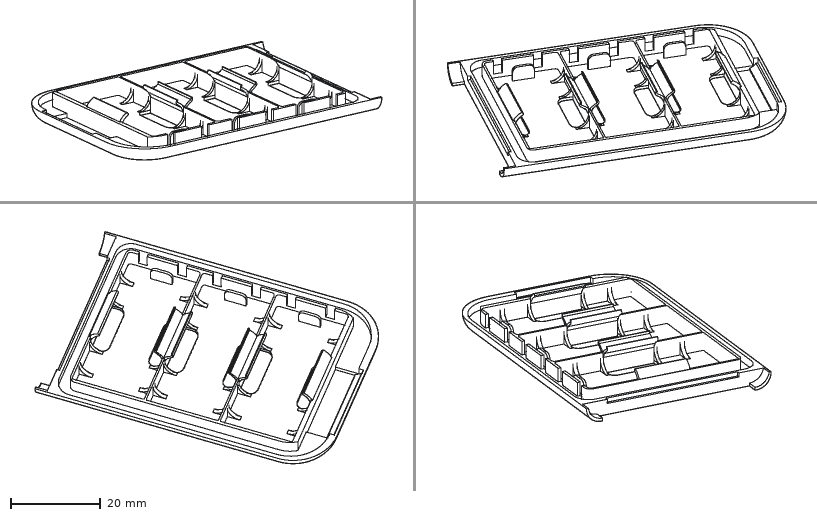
import cadquery as cq
import math


WIDTH = 46.57
LENGTH = 68.04
RIM_Z = 3.7
SHELL_ROUND = 3.65
CORNER_R = 10.43
BACK_EDGE_Y = 65.25

ARM_FOOT_X = 19.24
ARM_HOLLOW_R = 3.6
ARM_HOLLOW_Z = 4.3

STEP_WIDTH = 33.2
STEP_Y = 64.57
STEP_DEPTH = 1.0

MOAT_FLOOR_Z = 1.8
MOAT_HALF_WIDTH = 22.3
MOAT_FRONT_Y = 1.75
MOAT_BACK_Y = 63.9
MOAT_FRONT_R = 9.2
MOAT_BACK_R = 3.6

NOTCH_LEFT_X = -12.85
NOTCH_RIGHT_X = 6.4
NOTCH_FLOOR_Z = 0.8
NOTCH_RAMP_START_Y = 2.6
NOTCH_RAMP_END_Y = 1.1
NOTCH_RAMP_R = 3.2
NOTCH_RAMP_CENTRE_Y = 3.65
NOTCH_RAMP_CENTRE_Z = 4.25
NOTCH_LIP_Y = 0.65

WALL_TOP_Z = 5.08
FLOOR_Z = 0.75
BOX_HALF_WIDTH = 19.58
BOX_FRONT_Y = 7.33
BOX_BACK_Y = 61.35
BOX_BACK_R = 1.4
BOX_FRONT_FLAT_X = 18.35
BOX_CURVE_START_Y = 11.3
CELL_COUNT = 3
CELL_FRONT_Y = 8.5
CELL_LENGTH = 17.15
CELL_HALF_WIDTH = 18.85
DIVIDER = 0.45
CELL_PITCH = CELL_LENGTH + DIVIDER
CELL_LEFT_R = 0.3
CELL_RIGHT_R = 0.7

WINDOW_HALF_WIDTH = 6.4
WINDOW_DEPTH = 3.87
WINDOW_R = 1.8
RIB_REACH = 3.0
RIB_TIP = 0.05
INNER_RIB_X = 6.75
INNER_RIB_WIDTH = 0.76
OUTER_RIB_X = 13.52
OUTER_RIB_WIDTH = 1.03
TAB_X = 16.45
TAB_THICKNESS = 0.6
TAB_LENGTH = 5.1
TAB_HEIGHT = 3.5
TAB_R = 1.3
SLOT_WIDTH = 2.08
SLOT_FRONT_OFFSET = -4.05
SLOT_BACK_OFFSET = 5.25

CLIP_TOP_Z = 7.07
CLIP_ROOT_DEPTH = 1.2


def box(x0, x1, y0, y1, z0, z1):
    return cq.Workplane("XY").box(x1 - x0, y1 - y0, z1 - z0, centered=False).translate((x0, y0, z0))


def cell_fronts():
    return [CELL_FRONT_Y + i * CELL_PITCH for i in range(CELL_COUNT)]


def shell():
    half = WIDTH / 2
    body = box(-half, half, 0, LENGTH, 0, RIM_Z)
    body = body.edges("|Z and <Y").fillet(CORNER_R)
    rounded = body.faces("<Z").edges("not >Y").fillet(SHELL_ROUND)
    hollow = box(-ARM_FOOT_X, ARM_FOOT_X, BACK_EDGE_Y, LENGTH, 0, RIM_Z)
    for side in (-1, 1):
        hollow = hollow.union(
            cq.Workplane("XZ", origin=(side * ARM_FOOT_X, LENGTH, ARM_HOLLOW_Z))
            .circle(ARM_HOLLOW_R)
            .extrude(LENGTH - BACK_EDGE_Y)
        )
    step = box(-STEP_WIDTH / 2, STEP_WIDTH / 2, STEP_Y, BACK_EDGE_Y, RIM_Z - STEP_DEPTH, RIM_Z)
    return rounded.cut(hollow).cut(step)


def moat():
    pocket = box(-MOAT_HALF_WIDTH, MOAT_HALF_WIDTH, MOAT_FRONT_Y, MOAT_BACK_Y, MOAT_FLOOR_Z, RIM_Z)
    return pocket.edges("|Z and <Y").fillet(MOAT_FRONT_R).edges("|Z and >Y").fillet(MOAT_BACK_R)


def notch_ramp_z(y):
    return NOTCH_RAMP_CENTRE_Z - math.sqrt(NOTCH_RAMP_R**2 - (NOTCH_RAMP_CENTRE_Y - y) ** 2)


def notch():
    ramp_mid_y = (NOTCH_RAMP_START_Y + NOTCH_RAMP_END_Y) / 2
    ledge_z = notch_ramp_z(NOTCH_RAMP_END_Y)
    return (
        cq.Workplane("YZ", origin=(NOTCH_LEFT_X, 0, 0))
        .moveTo(BOX_FRONT_Y, NOTCH_FLOOR_Z)
        .lineTo(NOTCH_RAMP_START_Y, NOTCH_FLOOR_Z)
        .lineTo(NOTCH_RAMP_START_Y, notch_ramp_z(NOTCH_RAMP_START_Y))
        .threePointArc((ramp_mid_y, notch_ramp_z(ramp_mid_y)), (NOTCH_RAMP_END_Y, ledge_z))
        .lineTo(NOTCH_LIP_Y, ledge_z)
        .lineTo(NOTCH_LIP_Y, RIM_Z)
        .lineTo(BOX_FRONT_Y, RIM_Z)
        .close()
        .extrude(NOTCH_RIGHT_X - NOTCH_LEFT_X)
    )


def box_block():
    inset = BOX_HALF_WIDTH - BOX_FRONT_FLAT_X
    rise = BOX_CURVE_START_Y - BOX_FRONT_Y
    radius = (inset**2 + rise**2) / (2 * inset)
    half_angle = math.asin(rise / radius) / 2
    mid_x = BOX_HALF_WIDTH - radius * (1 - math.cos(half_angle))
    mid_y = BOX_CURVE_START_Y - radius * math.sin(half_angle)
    block = (
        cq.Workplane("XY", origin=(0, 0, FLOOR_Z))
        .moveTo(-BOX_HALF_WIDTH, BOX_BACK_Y)
        .lineTo(-BOX_HALF_WIDTH, BOX_CURVE_START_Y)
        .threePointArc((-mid_x, mid_y), (-BOX_FRONT_FLAT_X, BOX_FRONT_Y))
        .lineTo(BOX_FRONT_FLAT_X, BOX_FRONT_Y)
        .threePointArc((mid_x, mid_y), (BOX_HALF_WIDTH, BOX_CURVE_START_Y))
        .lineTo(BOX_HALF_WIDTH, BOX_BACK_Y)
        .close()
        .extrude(WALL_TOP_Z - FLOOR_Z)
    )
    return block.edges("|Z and >Y").fillet(BOX_BACK_R)


def cell_pocket(front):
    pocket = box(-CELL_HALF_WIDTH, CELL_HALF_WIDTH, front, front + CELL_LENGTH, FLOOR_Z, WALL_TOP_Z)
    return pocket.edges("|Z and <X").fillet(CELL_LEFT_R).edges("|Z and >X").fillet(CELL_RIGHT_R)


def side_slots(front):
    middle = front + CELL_LENGTH / 2
    slots = cq.Workplane("XY")
    for offset in (SLOT_FRONT_OFFSET, SLOT_BACK_OFFSET):
        y0 = middle + offset - SLOT_WIDTH / 2
        slots = slots.union(
            box(CELL_HALF_WIDTH, BOX_HALF_WIDTH, y0, y0 + SLOT_WIDTH, MOAT_FLOOR_Z, WALL_TOP_Z)
        )
    return slots


def tab(front):
    y0 = front + (CELL_LENGTH - TAB_LENGTH) / 2
    plate = box(TAB_X, TAB_X + TAB_THICKNESS, y0, y0 + TAB_LENGTH, 0, FLOOR_Z + TAB_HEIGHT)
    return plate.faces(">Z").edges("|X").fillet(TAB_R)




def window():
    opening = box(-WINDOW_HALF_WIDTH, WINDOW_HALF_WIDTH, 0, WINDOW_DEPTH, 0, FLOOR_Z)
    return opening.edges("|Z and >Y").fillet(WINDOW_R)


def rib(x, width):
    tip_z = FLOOR_Z + RIB_TIP
    bend = RIB_REACH * (1 - math.sqrt(0.5))
    return (
        cq.Workplane("YZ", origin=(x - width / 2, 0, 0))
        .moveTo(0, FLOOR_Z)
        .lineTo(0, tip_z + RIB_REACH)
        .threePointArc((bend, tip_z + bend), (RIB_REACH, tip_z))
        .lineTo(RIB_REACH, FLOOR_Z)
        .close()
        .extrude(width)
    )


def ribs():
    group = cq.Workplane("XY")
    for side in (-1, 1):
        group = group.union(rib(side * INNER_RIB_X, INNER_RIB_WIDTH))
        group = group.union(rib(side * OUTER_RIB_X, OUTER_RIB_WIDTH))
    return group


def clip_plane():
    return cq.Workplane("YZ", origin=(-WINDOW_HALF_WIDTH, 0, WALL_TOP_Z))




def end_clip():
    upper_root = (-0.35, 0)
    upper_mid = (0.47, 1.05)
    tip_top = (1.65, 1.85)
    tip_front = (2.05, 1.5)
    tip_bottom = (2.0, 1.15)
    lower_mid = (1.33, 0.72)
    lower_root = (0.7, 0.05)
    return (
        clip_plane()
        .moveTo(upper_root[0], -CLIP_ROOT_DEPTH)
        .lineTo(*upper_root)
        .threePointArc(upper_mid, tip_top)
        .lineTo(*tip_front)
        .lineTo(*tip_bottom)
        .threePointArc(lower_mid, lower_root)
        .lineTo(0, -CLIP_ROOT_DEPTH)
        .close()
        .extrude(2 * WINDOW_HALF_WIDTH)
    )


def divider_clip():
    upper_root = (-DIVIDER / 2, 0)
    upper_mid = (0.6, 0.78)
    upper_bend = (1.57, 1.4)
    curl_inside = (1.68, 1.65)
    tip_inside = (1.55, CLIP_TOP_Z - WALL_TOP_Z)
    tip_outside = (1.75, CLIP_TOP_Z - WALL_TOP_Z)
    curl_outside = (2.02, 1.5)
    lower_bend = (1.8, 0.98)
    lower_mid = (1.17, 0.53)
    lower_root = (0.6, 0)
    return (
        clip_plane()
        .moveTo(upper_root[0], -CLIP_ROOT_DEPTH)
        .lineTo(*upper_root)
        .threePointArc(upper_mid, upper_bend)
        .threePointArc(curl_inside, tip_inside)
        .lineTo(*tip_outside)
        .threePointArc(curl_outside, lower_bend)
        .threePointArc(lower_mid, lower_root)
        .lineTo(0, -CLIP_ROOT_DEPTH)
        .close()
        .extrude(2 * WINDOW_HALF_WIDTH)
    )


def at_front_wall(feature, front):
    return feature.translate((0, front, 0))


def at_back_wall(feature, front):
    return feature.mirror("XZ").translate((0, front + CELL_LENGTH, 0))


def build():
    part = shell().cut(moat()).cut(notch()).union(box_block())
    for front in cell_fronts():
        part = part.cut(cell_pocket(front)).cut(side_slots(front))
        for place in (at_front_wall, at_back_wall):
            part = part.cut(place(window(), front)).union(place(ribs(), front))
        part = part.union(tab(front))
    for index, front in enumerate(cell_fronts()):
        front_clip = end_clip() if index == 0 else divider_clip()
        back_clip = end_clip() if index == CELL_COUNT - 1 else divider_clip()
        part = part.union(at_front_wall(front_clip, front))
        part = part.union(at_back_wall(back_clip, front))
    return part


result = build()